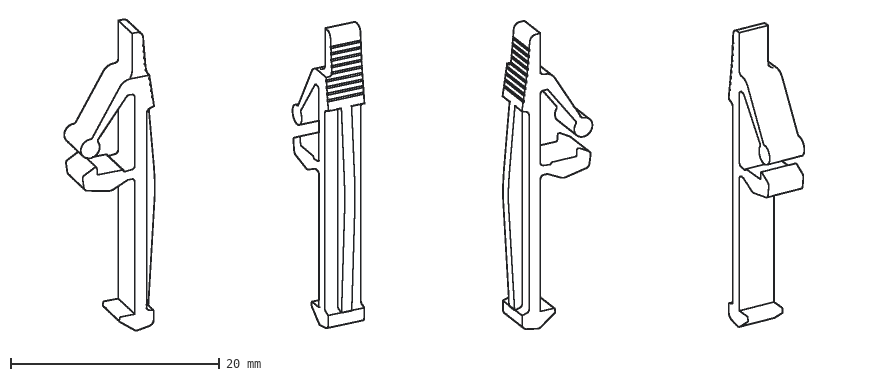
import cadquery as cq
import math

width = 3.9
height = 31.35

web_back = 1.25
foot_back = 2.0
shoulder_back = 2.05
web_bottom = 1.8
web_top = 23.5
web_corner_radius = 0.47
tab_width = 3.23
tab_floor = 26.9
tab_fillet = 0.38
tab_back = 1.13
tab_top_radius = 0.7
tab_bend_back = 1.45
tab_bend_z = 27.6

grip_count = 9
grip_pitch = 0.65
grip_bottom = 24.55
grip_radius = 0.1

rib_width = 1.1
rib_back = 2.75
rib_crown = 14.1
rib_blend_half = 2.2
rib_blend_back = 2.65

arm_underside = 25.2
bead_y = -4.7
bead_z = 20.28
bead_radius = 1.0
neck_radius = 0.25

catch_underside = 16.2
catch_root_top = 17.3
catch_seat = 17.37
lip_top = 18.18

root_fillet = 0.38
root_search = 0.1


def rounded_outline(corners):
    """Closed YZ outline from (y, z, radius) corners, each blended by a tangent arc."""
    stretches = []
    count = len(corners)
    for index, (y, z, radius) in enumerate(corners):
        corner = cq.Vector(y, z)
        before = cq.Vector(*corners[index - 1][:2])
        after = cq.Vector(*corners[(index + 1) % count][:2])
        to_before = (before - corner).normalized()
        to_after = (after - corner).normalized()
        half_angle = to_before.getAngle(to_after) / 2
        setback = radius / math.tan(half_angle)
        bisector = (to_before + to_after).normalized()
        arc_middle = corner + bisector * (radius / math.sin(half_angle) - radius)
        stretches.append((corner + to_before * setback, arc_middle, corner + to_after * setback, radius))

    outline = cq.Workplane("YZ").moveTo(*stretches[0][2].toTuple()[:2])
    for start, middle, end, radius in stretches[1:] + stretches[:1]:
        outline = outline.lineTo(start.x, start.y)
        if radius > 0:
            outline = outline.threePointArc((middle.x, middle.y), (end.x, end.y))
    return outline.close()


def make_stem():
    """Stem, foot hook and tab at full width, with the web recessed from the back."""
    corners = [
        (0, height, 0),
        (tab_back, height, tab_top_radius),
        (tab_bend_back, tab_bend_z, 0),
        (shoulder_back, web_top, 0),
        (web_back, web_top - 0.28, web_corner_radius),
        (web_back, web_bottom + 0.22, web_corner_radius - 0.15),
        (foot_back, web_bottom, 0),
        (foot_back, 0.3, 0.63),
        (0.13, -0.03, 0.5),
        (-1.65, 1.32, 0.25),
        (-1.57, web_bottom, 0.13),
        (0, web_bottom, 0),
    ]
    return rounded_outline(corners).extrude(width)


def make_rib():
    """Rib bulging from the back, with straight flanks blended by an arc at its crown."""
    return (
        cq.Workplane("YZ", origin=((width - rib_width) / 2, 0, 0))
        .moveTo(web_back / 2, web_bottom)
        .lineTo(foot_back + 0.05, web_bottom)
        .lineTo(rib_blend_back, rib_crown - rib_blend_half)
        .threePointArc((rib_back, rib_crown), (rib_blend_back, rib_crown + rib_blend_half))
        .lineTo(shoulder_back, web_top)
        .lineTo(web_back / 2, web_top)
        .close()
        .extrude(rib_width)
    )


def make_spring_arm():
    """Sloping spring arm and its bead, with both sides of the neck blended."""
    corners = [
        (web_back / 2, tab_floor, 0),
        (-1.2, tab_floor, 1.38),
        (-4.67, 21.1, 0),
        (bead_y, bead_z, 0),
        (-4.0, 20.9, 0),
        (-0.78, arm_underside, 0.3),
        (web_back / 2, arm_underside, 0),
    ]
    arm = rounded_outline(corners).extrude(width)
    bead = cq.Workplane("YZ").center(bead_y, bead_z).circle(bead_radius).extrude(width)
    neck = cq.selectors.BoxSelector((-0.3, -4.95, 20.7), (width + 0.3, -3.6, 21.47))
    return arm.union(bead).edges("|X").edges(neck).fillet(neck_radius)


def make_catch_arm():
    """Lower arm with a flat seat and a raised lip at its free end."""
    corners = [
        (web_back / 2, catch_underside, 0),
        (-0.75, catch_underside, 0.25),
        (-2.5, 15.35, 0.78),
        (-5.33, 15.93, 0.47),
        (-5.55, 17.45, 0.38),
        (-4.25, lip_top, 0.13),
        (-4.0, lip_top, 0.1),
        (-3.95, catch_seat, 0.1),
        (-1.22, catch_seat, 0.1),
        (-1.1, 17.15, 0.1),
        (web_back / 2, catch_root_top, 0),
    ]
    return rounded_outline(corners).extrude(width)


def fillet_roots(body):
    """Blend the front face of the stem into both arms, below the tab."""
    for root_z in (arm_underside, catch_root_top, catch_underside):
        root = cq.selectors.BoxSelector(
            (0, -root_search, root_z - root_search), (width, root_search, root_z + root_search)
        )
        body = body.edges("|X").edges(root).fillet(root_fillet)
    return body


def narrow_tab(body):
    """Notch the +X side of the tab and wrap a fillet around its base."""
    notch = cq.Workplane("XY").box(width, width * 2, height, centered=(False, True, False))
    body = body.cut(notch.translate((tab_width, 0, tab_floor)))
    base = cq.selectors.BoxSelector(
        (-0.3, -0.03, tab_floor - 0.03), (tab_width + 0.03, foot_back, tab_floor + 0.03)
    )
    return body.edges(base).fillet(tab_fillet)


def tab_back_at(z):
    """Y of the two-slope tab back at a given height."""
    if z > tab_bend_z:
        return tab_bend_back + (tab_back - tab_bend_back) * (z - tab_bend_z) / (height - tab_bend_z)
    return shoulder_back + (tab_bend_back - shoulder_back) * (z - web_top) / (tab_bend_z - web_top)


def cut_grip(body):
    """Cut the evenly spaced half-round grip grooves."""
    for index in range(grip_count):
        z = grip_bottom + index * grip_pitch
        groove = cq.Workplane("YZ").center(tab_back_at(z), z).circle(grip_radius).extrude(width)
        body = body.cut(groove)
    return body


body = make_stem().union(make_rib()).union(make_spring_arm()).union(make_catch_arm())
body = fillet_roots(body)
body = narrow_tab(body)
result = cut_grip(body)